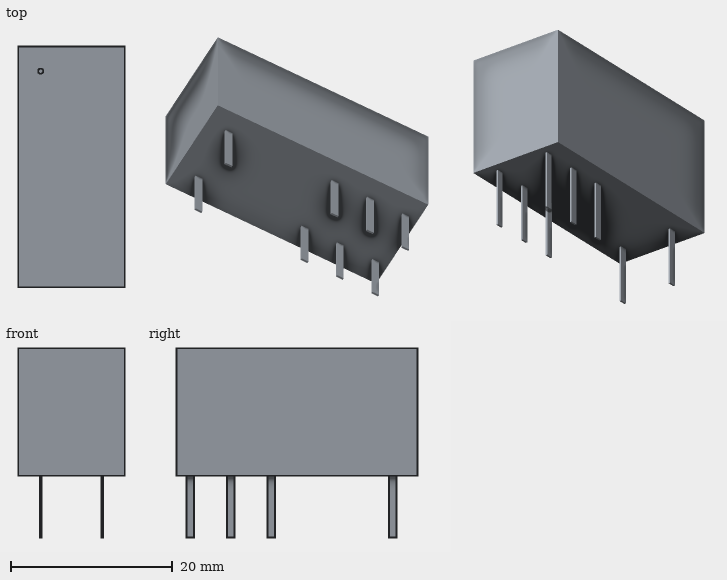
import cadquery as cq

housing_width = 13.2
housing_length = 29.8
overall_height = 23.41
pin_length = 7.63
housing_height = overall_height - pin_length

pin_thickness = 0.25
pin_width = 0.95
row_spacing = 7.63
row_positions = (-row_spacing / 2, row_spacing / 2)
first_pin_y = 11.83
pin_pitch = 5.0
long_gap = 3 * pin_pitch
near_pin_y = first_pin_y - long_gap
pin_positions = (first_pin_y, near_pin_y, near_pin_y - pin_pitch, near_pin_y - 2 * pin_pitch)

marker_diameter = 0.63
marker_depth = 0.1


def make_marker():
    """Thin disc whose upper face is level with the housing top."""
    return (
        cq.Workplane("XY", origin=(row_positions[0], first_pin_y, housing_height - marker_depth))
        .circle(marker_diameter / 2)
        .extrude(marker_depth)
    )


def make_housing(marker):
    """Plain block standing on Z = 0, with a recess that fits the marker."""
    block = cq.Workplane("XY").box(
        housing_width, housing_length, housing_height, centered=(True, True, False)
    )
    return block.cut(marker)


def make_pin(x, y):
    """Flat pin that touches the housing underside and points down."""
    return cq.Workplane("XY", origin=(x, y, 0)).rect(pin_thickness, pin_width).extrude(-pin_length)


marker = make_marker()
housing = make_housing(marker)
pins = [make_pin(x, y) for x in row_positions for y in pin_positions]

result = cq.Compound.makeCompound([housing.val(), marker.val(), *[pin.val() for pin in pins]])